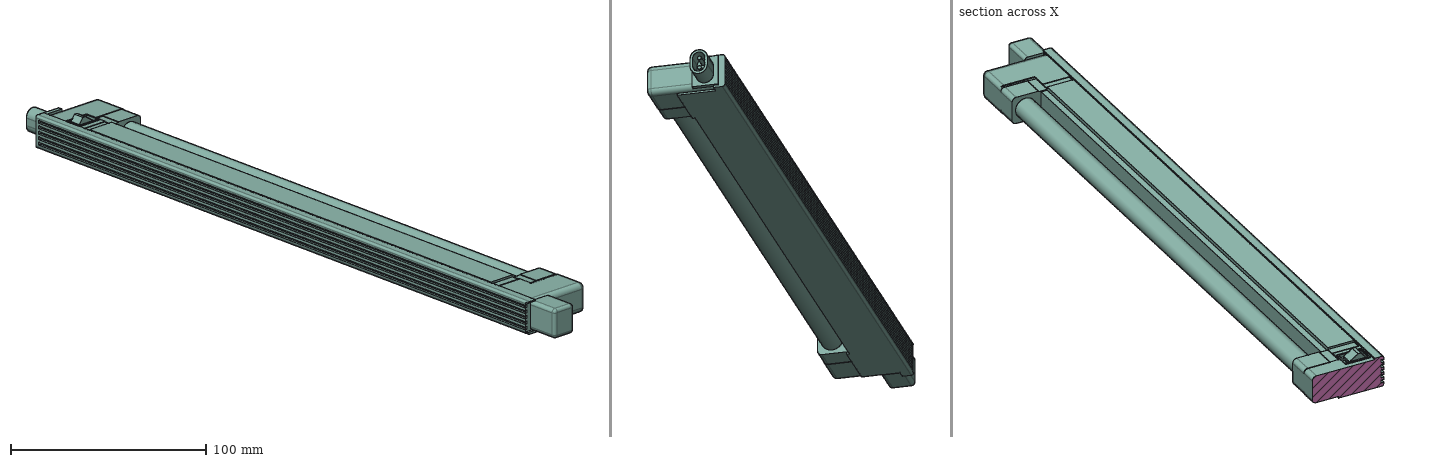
import cadquery as cq

overall_length = 397.0
overall_depth = 42.0
overall_height = 20.5

plate_left = 13.2
plate_right = 380.6
plate_depth = 6.1
cover_top = 18.0
rib_pitch = 3.0
rib_groove_width = 1.5
rib_groove_depth = 1.5
groove_count = 5
groove_end_margin = 2.1
front_fillet = 1.3
seam_width = 0.6
seam_depth = 0.8

housing_back = 25.0
cover_back = 21.5
ledge_top = 16.0
cap_lip = 4.8

cap_left = 14.5
cap_right = 379.0
cap_bottom = 1.0
cap_top = 17.2
socket_end_left = 47.0
socket_end_right = 346.8
socket_length = 12.0
socket_front = 26.5
end_fillet = 3.0
back_fillet = 2.4
socket_drop = 0.3
joint_width = 1.4
joint_depth = 0.5

tube_diameter = 11.6
tube_y = 34.2
tube_z = (cap_bottom + cap_top) / 2
tube_overlap = 2.0

inlet_y = 10.3
inlet_z = 9.3
inlet_width = 9.2
inlet_height = 13.4
inlet_wall = 1.4
inlet_cavity_depth = 9.0
flange_left = 12.0
flange_width = 13.8
flange_bottom = 1.2
flange_top = 17.3
pin_diameter = 2.0
pin_offset = 2.7
pin_recess = 1.5

plug_front = inlet_y - flange_width / 2
plug_fillet = 2.0
plug_end_fillet = 1.8

switch_left = 28.8
switch_right = 39.0
switch_front = 6.6
switch_back = 21.0
bezel_rise = 0.4
bezel_wall = 1.0
switch_well_depth = 1.2
rocker_left = 30.4
rocker_right = 36.7
rocker_back = 17.9
rocker_front = 8.4
rocker_crest_back = 12.9
rocker_crest_front = 11.0


def block(x_range, y_range, z_range):
    """Axis-aligned box between the given limits."""
    sizes = [high - low for low, high in (x_range, y_range, z_range)]
    corner = (x_range[0], y_range[0], z_range[0])
    return cq.Workplane("XY").box(*sizes, centered=False).translate(corner)


def x_plane(x, y, z):
    """Workplane facing +X whose local axes are Y and Z."""
    return cq.Workplane("YZ", origin=(x, y, z))


def front_plate():
    """Front diffuser with lengthwise ribs and a seam along its back, notched around the plug."""
    plate = block((plate_left, plate_right), (0, plate_depth), (0, cover_top))
    plate = plate.edges("<Y and |X").fillet(front_fillet)
    groove_span = (groove_count - 1) * rib_pitch + rib_groove_width
    first_groove = (cover_top - groove_span) / 2
    groove_x = (plate_left + groove_end_margin, plate_right - groove_end_margin)
    for index in range(groove_count):
        groove_bottom = first_groove + index * rib_pitch
        groove_z = (groove_bottom, groove_bottom + rib_groove_width)
        plate = plate.cut(block(groove_x, (0, rib_groove_depth), groove_z))
    seam_y = (plate_depth - seam_width, plate_depth)
    plate = plate.cut(block((plate_left, plate_right), seam_y, (cover_top - seam_depth, cover_top)))
    return plate.cut(block((cap_right, plate_right), (0, plate_depth), (flange_bottom, flange_top)))


def housing():
    """Long ballast housing: raised cover, and a lower ledge toward the tube."""
    x_range = (socket_end_left, socket_end_right)
    ledge = block(x_range, (plate_depth, housing_back), (0, ledge_top))
    return ledge.union(block(x_range, (plate_depth, cover_back), (0, cover_top)))


def end_cap(outer_x, inner_x):
    """L-shaped end cap carrying a tube socket; the tube enters at inner_x."""
    inward = 1 if inner_x > outer_x else -1
    shoulder_x = inner_x - inward * socket_length
    lip_x = inner_x - inward * cap_lip
    end_face = "<X" if inward > 0 else ">X"
    inner_face = ">X" if inward > 0 else "<X"

    cap = block(sorted((outer_x, shoulder_x)), (plate_depth, overall_depth), (cap_bottom, cap_top))
    cap = cap.faces(end_face).edges("|Y").fillet(end_fillet)
    cap = cap.faces(">Y").edges(f"not {inner_face}").fillet(back_fillet)

    socket_z = (cap_bottom + socket_drop, cap_top - socket_drop)
    socket = block(sorted((shoulder_x, inner_x)), (socket_front, overall_depth), socket_z)
    socket = socket.edges(">Y and |X").fillet(back_fillet)
    web_z = (cap_bottom, cap_top - 2 * socket_drop)
    web = block(sorted((shoulder_x, inner_x)), (plate_depth, socket_front), web_z)
    lip_y = (plate_depth, cover_back)
    lip = block(sorted((shoulder_x, lip_x)), lip_y, (0, cap_top))
    strip = block(sorted((lip_x, inner_x)), lip_y, (0, cap_top - socket_drop))
    foot_x = sorted((outer_x + inward * end_fillet, inner_x))
    foot = block(foot_x, (plate_depth, socket_front), (0, ledge_top))
    return cap.union(socket).union(web).union(lip).union(strip).union(foot)


def tube():
    """Fluorescent tube held between the two sockets."""
    start = socket_end_left - tube_overlap
    length = socket_end_right + tube_overlap - start
    return x_plane(start, tube_y, tube_z).circle(tube_diameter / 2).extrude(length)


def power_inlet():
    """Oblong shrouded inlet with two contact pins, on a rectangular flange."""
    flange_y = (inlet_y - flange_width / 2, inlet_y + flange_width / 2)
    flange = block((flange_left, cap_left), flange_y, (flange_bottom, flange_top))
    face = x_plane(0, inlet_y, inlet_z)
    shroud = face.slot2D(inlet_height, inlet_width, 90).extrude(flange_left)
    cavity_height = inlet_height - 2 * inlet_wall
    cavity_width = inlet_width - 2 * inlet_wall
    shroud = shroud.cut(face.slot2D(cavity_height, cavity_width, 90).extrude(inlet_cavity_depth))
    pin_face = x_plane(pin_recess, inlet_y, inlet_z)
    pins = pin_face.pushPoints([(0, -pin_offset), (0, pin_offset)]).circle(pin_diameter / 2)
    return flange.union(shroud).union(pins.extrude(flange_left - pin_recess))


def plug():
    """Rounded rectangular plug projecting from the right end."""
    plug_y = (plug_front, plug_front + flange_width)
    body = block((cap_right, overall_length), plug_y, (flange_bottom, flange_top))
    return body.edges("|X").fillet(plug_fillet).faces(">X").edges().fillet(plug_end_fillet)


def socket_joint():
    """Shallow groove in the right end cap, beside its tube socket."""
    joint_left = socket_end_right + socket_length
    joint_y = (cover_back, overall_depth)
    return block((joint_left, joint_left + joint_width), joint_y, (cap_top - joint_depth, cap_top))


def switch_bezel():
    """Raised rectangular frame around the rocker."""
    return block((switch_left, switch_right), (switch_front, switch_back), (cap_bottom, cap_top + bezel_rise))


def switch_well():
    """Recess inside the bezel in which the rocker sits."""
    x_range = (switch_left + bezel_wall, switch_right - bezel_wall)
    y_range = (switch_front + bezel_wall, switch_back - bezel_wall)
    return block(x_range, y_range, (cap_top - switch_well_depth, overall_height))


def rocker():
    """Rocker with a flat crest, sloping gently to the back and steeply to the front."""
    base = cap_top - switch_well_depth
    profile = [
        (rocker_front, base),
        (rocker_back, base),
        (rocker_back, cap_top),
        (rocker_crest_back, overall_height),
        (rocker_crest_front, overall_height),
        (rocker_front, cap_top),
    ]
    return x_plane(rocker_left, 0, 0).polyline(profile).close().extrude(rocker_right - rocker_left)


result = front_plate().union(housing())
result = result.union(end_cap(cap_left, socket_end_left))
result = result.union(end_cap(cap_right, socket_end_right))
result = result.union(tube()).union(power_inlet()).union(plug())
result = result.union(switch_bezel()).cut(switch_well()).union(rocker())
result = result.cut(socket_joint())